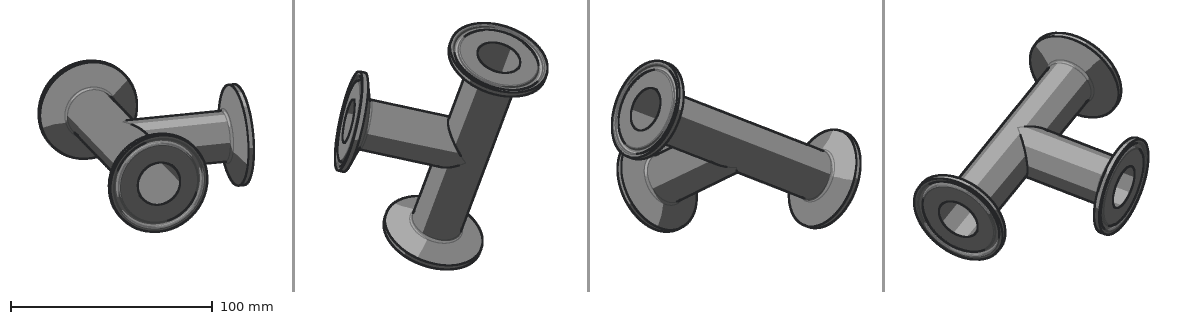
import cadquery as cq
import math

run_length = 120.6
branch_length = 60.3

tube_radius = 25.5 / 2
bore_radius = 22.1 / 2

flange_radius = 50.4 / 2
rim_thickness = 2.9
cone_angle = 20.0
neck_fillet = 1.5

groove_radius = 21.8
groove_depth = 1.6
groove_bottom_radius = 1.1
groove_flank_angle = 23.0
groove_lip_radius = 0.6


def ferrule_leg(length):
    """Solid leg along +Z: a tube from the origin that ends in a clamp flange."""
    cone_length = (flange_radius - tube_radius) * math.tan(math.radians(cone_angle))
    rim_back = length - rim_thickness
    cone_end = rim_back - cone_length

    turn = math.radians(90 - cone_angle)
    tangent = neck_fillet * math.tan(turn / 2)
    centre_radius = tube_radius + neck_fillet
    start_z = cone_end - tangent

    def fillet_point(angle):
        return (centre_radius - neck_fillet * math.cos(angle), start_z + neck_fillet * math.sin(angle))

    return (
        cq.Workplane("XZ")
        .lineTo(tube_radius, 0)
        .lineTo(tube_radius, start_z)
        .threePointArc(fillet_point(turn / 2), fillet_point(turn))
        .lineTo(flange_radius, rim_back)
        .lineTo(flange_radius, length)
        .lineTo(0, length)
        .close()
        .revolve(360, (0, 0), (0, 1))
    )


def gasket_groove(length):
    """Ring to cut from the face: a round bottom, leaning flanks and rounded lips."""
    turn = math.radians(90 - groove_flank_angle)
    bottom_z = length - groove_depth

    arc_end = (
        groove_bottom_radius * math.sin(turn),
        bottom_z + groove_bottom_radius * (1 - math.cos(turn)),
    )
    lip_start_z = length - groove_lip_radius * (1 - math.cos(turn))
    flank_spread = (lip_start_z - arc_end[1]) / math.tan(turn)
    lip_start = (arc_end[0] + flank_spread, lip_start_z)
    lip_end = (lip_start[0] + groove_lip_radius * math.sin(turn), length)
    lip_middle = (
        lip_end[0] - groove_lip_radius * math.sin(turn / 2),
        length - groove_lip_radius * (1 - math.cos(turn / 2)),
    )

    def outer(point):
        return (groove_radius + point[0], point[1])

    def inner(point):
        return (groove_radius - point[0], point[1])

    return (
        cq.Workplane("XZ")
        .moveTo(*inner(lip_end))
        .threePointArc(inner(lip_middle), inner(lip_start))
        .lineTo(*inner(arc_end))
        .threePointArc((groove_radius, bottom_z), outer(arc_end))
        .lineTo(*outer(lip_start))
        .threePointArc(outer(lip_middle), outer(lip_end))
        .close()
        .revolve(360, (0, 0), (0, 1))
    )


def leg(length):
    """Solid leg along +Z with its face groove cut."""
    return ferrule_leg(length).cut(gasket_groove(length))


def bore(length):
    """Flow passage along +Z from the origin."""
    return cq.Workplane("XY").circle(bore_radius).extrude(length)


def point_to_x(shape, direction):
    """Turn a +Z shape to +X (direction 1) or -X (direction -1)."""
    return shape.rotate((0, 0, 0), (0, 1, 0), direction * 90)


def point_to_y(shape):
    """Turn a +Z shape to +Y."""
    return shape.rotate((0, 0, 0), (1, 0, 0), -90)


body = point_to_y(leg(branch_length))
passages = point_to_y(bore(branch_length))
for direction in (-1, 1):
    body = body.union(point_to_x(leg(run_length / 2), direction))
    passages = passages.union(point_to_x(bore(run_length / 2), direction))

result = body.cut(passages)